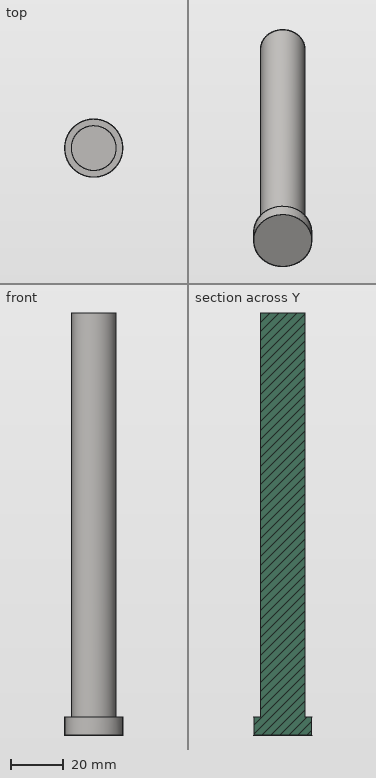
import cadquery as cq

total_length = 160.0
head_diameter = 22.0
head_height = 7.0
shank_diameter = 17.0

head = cq.Workplane("XY").circle(head_diameter / 2).extrude(head_height)
shank = cq.Workplane("XY").circle(shank_diameter / 2).extrude(total_length)

result = head.union(shank)